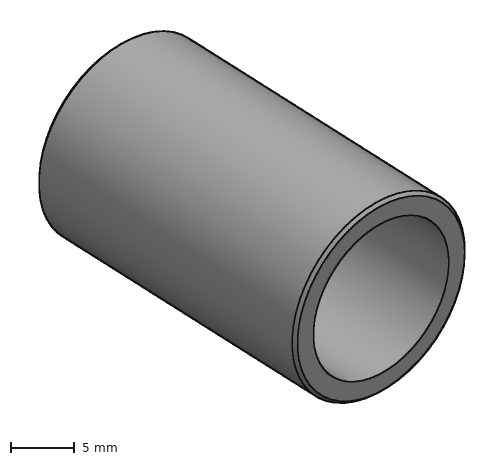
import cadquery as cq

length = 30.0
outer_diameter = 18.5
bore_diameter = 14.5
edge_chamfer = 0.3

end_plane = cq.Workplane("YZ", origin=(-length / 2, 0, 0))

body = (
    end_plane.circle(outer_diameter / 2)
    .extrude(length)
    .faces("<X or >X")
    .chamfer(edge_chamfer)
)

bore = end_plane.circle(bore_diameter / 2).extrude(length)

result = body.cut(bore)